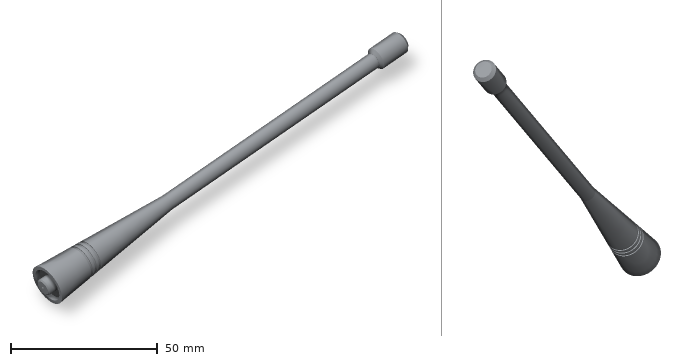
import cadquery as cq

length = 165.0
tip_y = -length / 2
cap_end_y = length / 2

pin_radius = 0.3
pin_projection = 0.3
connector_radius = 3.1
connector_chamfer = 0.5
connector_end_y = tip_y + pin_projection

base_y = tip_y + 2.3
base_radius = 7.5
grip_length = 55.0
grip_end_y = base_y + grip_length
rod_radius = 2.89

recess_mouth_radius = 6.1
recess_floor_radius = 5.8
recess_depth = 1.6

groove_count = 3
groove_width = 1.0
groove_pitch = 2.0
groove_depth = 0.3
first_groove_y = base_y + 14.5

cap_length = 13.2
cap_radius = 4.1
cap_chamfer = 1.2
cap_start_y = cap_end_y - cap_length


def grip_radius(y):
    """Radius of the conical grip at a position along the axis."""
    return base_radius + (rod_radius - base_radius) * (y - base_y) / grip_length


def revolve(profile):
    """Turn a list of (radius, y) points into a solid about the Y axis."""
    return cq.Workplane("XY").polyline(profile).close().revolve(360, (0, 0, 0), (0, 1, 0))


def make_body():
    """Grip, rod and chamfered end cap in one turned solid."""
    return revolve([
        (0, base_y),
        (base_radius, base_y),
        (rod_radius, grip_end_y),
        (rod_radius, cap_start_y),
        (cap_radius - cap_chamfer, cap_start_y),
        (cap_radius, cap_start_y + cap_chamfer),
        (cap_radius, cap_end_y - cap_chamfer),
        (cap_radius - cap_chamfer, cap_end_y),
        (0, cap_end_y),
    ])


def make_recess():
    """Tapered pocket in the base of the grip."""
    floor_y = base_y + recess_depth
    return revolve([
        (0, base_y),
        (recess_mouth_radius, base_y),
        (recess_floor_radius, floor_y),
        (0, floor_y),
    ])


def make_connector():
    """Chamfered connector rising from the recess floor, with its contact pin."""
    return revolve([
        (0, tip_y),
        (pin_radius, tip_y),
        (pin_radius, connector_end_y),
        (connector_radius - connector_chamfer, connector_end_y),
        (connector_radius, connector_end_y + connector_chamfer),
        (connector_radius, base_y + recess_depth),
        (0, base_y + recess_depth),
    ])


def make_groove(start_y):
    """Ring cutter whose floor follows the taper of the grip."""
    end_y = start_y + groove_width
    return revolve([
        (grip_radius(start_y) - groove_depth, start_y),
        (base_radius, start_y),
        (base_radius, end_y),
        (grip_radius(end_y) - groove_depth, end_y),
    ])


result = make_body().cut(make_recess()).union(make_connector())
for index in range(groove_count):
    result = result.cut(make_groove(first_groove_y + index * groove_pitch))